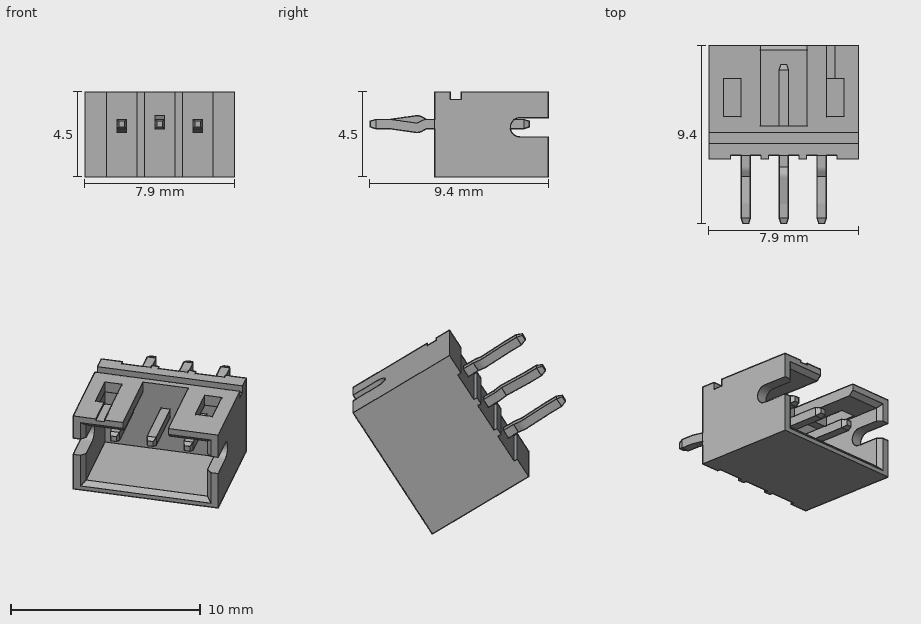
import cadquery as cq
import math


HOUSING_WIDTH = 7.9
HOUSING_LENGTH = 6.0
HOUSING_HEIGHT = 4.5
OVERALL_LENGTH = 9.4

SIDE_WALL = 0.65
TOP_WALL = 0.61
BOTTOM_WALL = 0.5
CAVITY_FLOOR_Y = 1.75
MOUTH_CHAMFER = 0.25
NOTCH_WIDTH = 2.47

SLOT_HEIGHT = 1.0
SLOT_DEPTH = 2.0
SLOT_BOTTOM_Z = 2.13

WINDOW_WIDTH = 0.93
WINDOW_LENGTH = 2.0
WINDOW_FRONT_Y = 2.24
WINDOW_OFFSET_X = 2.72
KEY_GROOVE_WIDTH = 0.46
KEY_GROOVE_DEPTH = 0.1

CHANNEL_WIDTH = 0.56
CHANNEL_DEPTH = 0.4
CHANNEL_FRONT_Y = 0.83

RECESS_WIDTH = 1.6
RECESS_DEPTH = 0.2

PIN_COUNT = 3
PIN_PITCH = 2.0
PIN_THICKNESS = 0.5
PIN_AXIS_Z = 2.8
PIN_FRONT_Y = HOUSING_LENGTH - OVERALL_LENGTH
PIN_BACK_Y = 5.0
TIP_LENGTH = 0.3
TIP_THICKNESS = 0.3

KINK_START_Y = -0.42
KINK_RISE_ANGLE = math.radians(28.0)
KINK_FALL_ANGLE = math.radians(8.0)
KINK_RISE_LENGTH = 0.3

PIN_XS = [(i - (PIN_COUNT - 1) / 2) * PIN_PITCH for i in range(PIN_COUNT)]


def block(x_range, y_range, z_range):
    """Box between the given limits on each axis."""
    sizes = [high - low for low, high in (x_range, y_range, z_range)]
    corner = (x_range[0], y_range[0], z_range[0])
    return cq.Workplane("XY").box(*sizes, centered=False).translate(corner)


def around(center, width):
    """Limits of a span of the given width about its centre."""
    return (center - width / 2, center + width / 2)


def mating_cavity():
    """Rectangular cavity whose mouth flares out at 45 degrees."""
    width = HOUSING_WIDTH - 2 * SIDE_WALL
    height = HOUSING_HEIGHT - TOP_WALL - BOTTOM_WALL
    center_z = BOTTOM_WALL + height / 2
    pocket = block(
        around(0, width),
        (CAVITY_FLOOR_Y, HOUSING_LENGTH),
        around(center_z, height),
    )
    back_face = cq.Plane((0, HOUSING_LENGTH, center_z), (1, 0, 0), (0, -1, 0))
    flare = (
        cq.Workplane(back_face)
        .rect(width + 2 * MOUTH_CHAMFER, height + 2 * MOUTH_CHAMFER)
        .extrude(MOUTH_CHAMFER, taper=45)
    )
    return pocket.union(flare)


def top_notch():
    """Opening in the top wall, from the cavity floor to the back."""
    return block(
        around(0, NOTCH_WIDTH),
        (CAVITY_FLOOR_Y, HOUSING_LENGTH),
        (HOUSING_HEIGHT - TOP_WALL, HOUSING_HEIGHT),
    )


def side_slots():
    """Round-ended slot through both side walls, open at the back."""
    radius = SLOT_HEIGHT / 2
    arc_start_y = HOUSING_LENGTH - SLOT_DEPTH + radius
    slot_top_z = SLOT_BOTTOM_Z + SLOT_HEIGHT
    return (
        cq.Workplane("YZ")
        .moveTo(HOUSING_LENGTH, SLOT_BOTTOM_Z)
        .lineTo(arc_start_y, SLOT_BOTTOM_Z)
        .threePointArc((arc_start_y - radius, SLOT_BOTTOM_Z + radius), (arc_start_y, slot_top_z))
        .lineTo(HOUSING_LENGTH, slot_top_z)
        .close()
        .extrude(HOUSING_WIDTH / 2, both=True)
    )


def top_window(center_x):
    """Rectangular window through the top wall."""
    return block(
        around(center_x, WINDOW_WIDTH),
        (WINDOW_FRONT_Y, WINDOW_FRONT_Y + WINDOW_LENGTH),
        (HOUSING_HEIGHT - TOP_WALL, HOUSING_HEIGHT),
    )


def key_groove():
    """Shallow groove from the +X window to the back, flush with the window's inner side."""
    inner_x = WINDOW_OFFSET_X - WINDOW_WIDTH / 2
    return block(
        (inner_x, inner_x + KEY_GROOVE_WIDTH),
        (WINDOW_FRONT_Y + WINDOW_LENGTH, HOUSING_LENGTH),
        (HOUSING_HEIGHT - KEY_GROOVE_DEPTH, HOUSING_HEIGHT),
    )


def top_channel():
    """Channel across the full width of the top."""
    return block(
        around(0, HOUSING_WIDTH),
        (CHANNEL_FRONT_Y, CHANNEL_FRONT_Y + CHANNEL_WIDTH),
        (HOUSING_HEIGHT - CHANNEL_DEPTH, HOUSING_HEIGHT),
    )


def front_recess(pin_x):
    """Full-height recess in the front face around one pin."""
    return block(around(pin_x, RECESS_WIDTH), (0, RECESS_DEPTH), (0, HOUSING_HEIGHT))


def pin_hole(pin_x):
    """Square hole that one pin fills, from the front recess to the cavity floor."""
    return block(
        around(pin_x, PIN_THICKNESS),
        (RECESS_DEPTH, CAVITY_FLOOR_Y),
        around(PIN_AXIS_Z, PIN_THICKNESS),
    )


def make_housing():
    body = block(around(0, HOUSING_WIDTH), (0, HOUSING_LENGTH), (0, HOUSING_HEIGHT))
    body = body.cut(mating_cavity()).cut(top_notch()).cut(side_slots())
    for side in (-1, 1):
        body = body.cut(top_window(side * WINDOW_OFFSET_X))
    body = body.cut(key_groove()).cut(top_channel())
    for pin_x in PIN_XS:
        body = body.cut(front_recess(pin_x)).cut(pin_hole(pin_x))
    return body


def arc_point(center, angle):
    """Point one pin thickness from a bend's sharp inner corner.

    The angle is measured from +Z and turns toward -Y, where the tail points.
    """
    return (
        center[0] - PIN_THICKNESS * math.sin(angle),
        center[1] + PIN_THICKNESS * math.cos(angle),
    )


def pin_side_profile():
    """Pin outline in Y and Z about the pin axis, kinked toward +Z.

    Each of the three bends has a sharp inner corner and an arc centred on it.
    """
    half = PIN_THICKNESS / 2
    half_tip = TIP_THICKNESS / 2
    rise = KINK_RISE_ANGLE
    fall = KINK_FALL_ANGLE

    first_corner = (KINK_START_Y, half)
    rise_bottom = arc_point(first_corner, math.pi - rise)
    rise_step = (-KINK_RISE_LENGTH * math.cos(rise), KINK_RISE_LENGTH * math.sin(rise))
    second_corner = (rise_bottom[0] + rise_step[0], rise_bottom[1] + rise_step[1])
    rise_top = arc_point(second_corner, -rise)
    fall_top = arc_point(second_corner, fall)
    third_corner_y = fall_top[0] - (fall_top[1] - half) / math.tan(fall)
    third_corner = (third_corner_y, half)

    return (
        cq.Workplane("YZ")
        .moveTo(PIN_BACK_Y, -half_tip)
        .lineTo(PIN_BACK_Y, half_tip)
        .lineTo(PIN_BACK_Y - TIP_LENGTH, half)
        .lineTo(*first_corner)
        .lineTo(*rise_top)
        .threePointArc(arc_point(second_corner, (fall - rise) / 2), fall_top)
        .lineTo(*third_corner)
        .lineTo(PIN_FRONT_Y + TIP_LENGTH, half)
        .lineTo(PIN_FRONT_Y, half_tip)
        .lineTo(PIN_FRONT_Y, -half_tip)
        .lineTo(PIN_FRONT_Y + TIP_LENGTH, -half)
        .lineTo(third_corner_y, -half)
        .threePointArc(arc_point(third_corner, math.pi + fall / 2), arc_point(third_corner, math.pi + fall))
        .lineTo(*second_corner)
        .lineTo(*rise_bottom)
        .threePointArc(arc_point(first_corner, math.pi - rise / 2), (KINK_START_Y, -half))
        .lineTo(PIN_BACK_Y - TIP_LENGTH, -half)
        .close()
    )


def pin_plan_profile():
    """Pin outline in X and Y, tapered at both tips."""
    half = PIN_THICKNESS / 2
    half_tip = TIP_THICKNESS / 2
    right_side = [
        (half_tip, PIN_FRONT_Y),
        (half, PIN_FRONT_Y + TIP_LENGTH),
        (half, PIN_BACK_Y - TIP_LENGTH),
        (half_tip, PIN_BACK_Y),
    ]
    left_side = [(-x, y) for x, y in reversed(right_side)]
    return cq.Workplane("XY").polyline(right_side + left_side).close()


def make_pin(pin_x, kink_up):
    """Square pin with pyramid tips; the kink points to +Z or -Z."""
    side_shape = pin_side_profile().extrude(PIN_THICKNESS / 2, both=True)
    plan_shape = pin_plan_profile().extrude(2 * PIN_THICKNESS, both=True)
    pin = side_shape.intersect(plan_shape)
    if not kink_up:
        pin = pin.mirror("XY")
    return pin.translate((pin_x, 0, PIN_AXIS_Z))


housing = make_housing()

pins = [make_pin(pin_x, kink_up=index % 2 == 1) for index, pin_x in enumerate(PIN_XS)]

result = cq.Compound.makeCompound([housing.solids().val(), *[pin.solids().val() for pin in pins]])